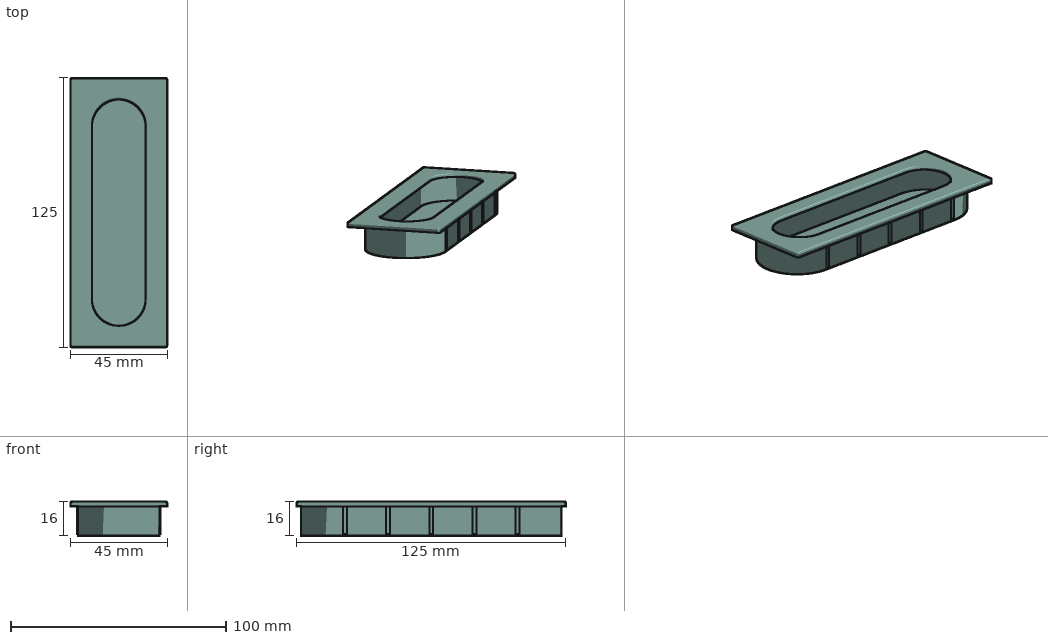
import cadquery as cq


total_height = 16.0

plate_width = 45.0
plate_length = 125.0
plate_thickness = 2.3
plate_edge_radius = 1.0
plate_underside = total_height - plate_thickness

opening_width = 25.0
opening_length = 105.0
lip_thickness = 1.5
lip_underside = total_height - lip_thickness

cup_width = 38.0
cup_length = 121.0
cup_wall = 2.0
cup_edge_radius = 0.25

rib_count = 5
rib_pitch = 20.0
rib_width = 1.8
rib_projection = 0.45
rib_bottom = 1.0


def oval(length, width, bottom, top):
    """Upright solid with a slot-shaped outline, long along Y."""
    return cq.Workplane("XY").workplane(offset=bottom).slot2D(length, width, 90).extrude(top - bottom)


def make_plate():
    """Face plate with rounded top edges and a recess underneath that takes the cup."""
    blank = (
        cq.Workplane("XY")
        .workplane(offset=plate_underside)
        .rect(plate_width, plate_length)
        .extrude(plate_thickness)
        .edges("|Z")
        .fillet(plate_edge_radius)
    )
    opening = oval(opening_length, opening_width, plate_underside, total_height)
    recess = oval(cup_length, cup_width, plate_underside, lip_underside)
    rounded = blank.cut(opening).faces(">Z").edges().fillet(plate_edge_radius)
    return rounded.cut(recess)


def make_rib(side, y):
    """Shallow rounded rib on one straight side of the cup (side is -1 or 1 along X)."""
    wall_x = side * cup_width / 2
    crest_x = wall_x + side * rib_projection
    half_width = rib_width / 2
    return (
        cq.Workplane("XY")
        .workplane(offset=rib_bottom)
        .moveTo(wall_x, y - half_width)
        .threePointArc((crest_x, y), (wall_x, y + half_width))
        .close()
        .extrude(plate_underside - rib_bottom)
    )


def make_cup():
    """Open-topped oval cup of even wall thickness, with ribs along both sides."""
    shell = oval(cup_length, cup_width, 0, lip_underside).faces("<Z").edges().fillet(cup_edge_radius)
    cavity = oval(cup_length - 2 * cup_wall, cup_width - 2 * cup_wall, cup_wall, lip_underside)
    ribbed = shell.cut(cavity)
    for index in range(rib_count):
        y = (index - (rib_count - 1) / 2) * rib_pitch
        for side in (-1, 1):
            ribbed = ribbed.union(make_rib(side, y))
    return ribbed


plate = make_plate()
cup = make_cup()

result = cq.Compound.makeCompound([plate.solids().val(), cup.solids().val()])